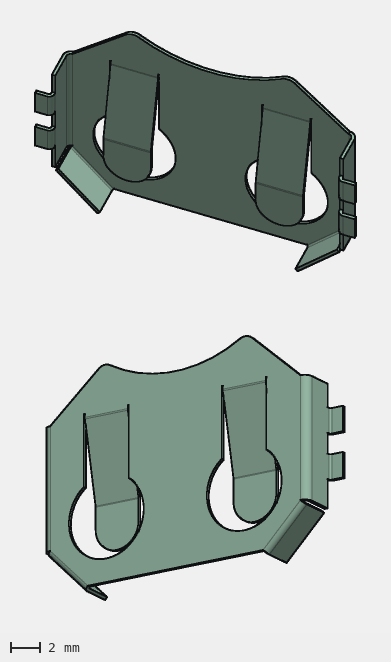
import cadquery as cq
import math

SHEET = 0.25
MIRROR_PLANE = "YZ"

WALL_HALF_SPAN = 10.54
WALL_INNER_RADIUS = 0.3
PLATE_HALF_WIDTH = WALL_HALF_SPAN - SHEET - WALL_INNER_RADIUS
CORNER_CUT = 3.0
WALL_TOP_Z = 11.8
PEAK_X = 5.66
PEAK_Z = 15.55
PEAK_RADIUS = 0.8
NOTCH_BOTTOM_Z = 13.9

FLANGE_DEPTH = 2.55
CORNER_INNER_RADIUS = 0.12

TAB_HALF_SPAN = 11.55
TAB_DEPTH = 3.05
TAB_WIDTH = 1.8
TAB_INNER_RADIUS = 0.15
LOWER_TAB_Z = 5.99
TAB_PITCH = 3.25
TABS_PER_SIDE = 2

TONGUE_X = 5.5
TONGUE_WIDTH = 3.42
TONGUE_TIP_Z = 2.63
TONGUE_DEPTH = 1.57
UPPER_BEND_Z = 11.92
LOWER_BEND_Z = 6.03
TONGUE_INNER_RADIUS = 0.25
SLIT_WIDTH = 0.07
SLIT_TOP_Z = 12.18
WINDOW_RADIUS = 2.98
WINDOW_Z = 4.65


def both_sides(half):
    """Join a shape with its mirror image across X = 0."""
    return half.union(half.mirror(MIRROR_PLANE))


def make_plate():
    """Flat plate with cut bottom corners, sloping shoulders and a concave top edge."""
    plate = (
        cq.Workplane("XZ")
        .moveTo(CORNER_CUT - PLATE_HALF_WIDTH, 0)
        .lineTo(PLATE_HALF_WIDTH - CORNER_CUT, 0)
        .lineTo(PLATE_HALF_WIDTH, CORNER_CUT)
        .lineTo(PLATE_HALF_WIDTH, WALL_TOP_Z)
        .lineTo(PEAK_X, PEAK_Z)
        .threePointArc((0, NOTCH_BOTTOM_Z), (-PEAK_X, PEAK_Z))
        .lineTo(-PLATE_HALF_WIDTH, WALL_TOP_Z)
        .lineTo(-PLATE_HALF_WIDTH, CORNER_CUT)
        .close()
        .extrude(SHEET)
    )
    return plate.edges("|Y").edges(">Z").fillet(PEAK_RADIUS)


def make_window():
    """Keyhole opening: a round hole with a slot rising from it."""
    slot_height = SLIT_TOP_Z - WINDOW_Z
    slot_width = TONGUE_WIDTH + 2 * SLIT_WIDTH
    hole = cq.Workplane("XZ").center(TONGUE_X, WINDOW_Z).circle(WINDOW_RADIUS).extrude(SHEET)
    slot = (
        cq.Workplane("XZ")
        .center(TONGUE_X, WINDOW_Z + slot_height / 2)
        .rect(slot_width, slot_height)
        .extrude(SHEET)
    )
    return hole.union(slot)


def make_flange(inner_radius, length):
    """Right-angle flange along +Z whose bend starts at X = 0 and turns toward -Y."""
    outer_radius = inner_radius + SHEET
    return (
        cq.Workplane("XY")
        .moveTo(0, 0)
        .radiusArc((outer_radius, -outer_radius), outer_radius)
        .lineTo(outer_radius, -FLANGE_DEPTH)
        .lineTo(inner_radius, -FLANGE_DEPTH)
        .lineTo(inner_radius, -outer_radius)
        .radiusArc((0, -SHEET), -inner_radius)
        .close()
        .extrude(length)
    )


def make_side_wall():
    """Flange along the vertical edge of the plate."""
    wall = make_flange(WALL_INNER_RADIUS, WALL_TOP_Z - CORNER_CUT)
    return wall.translate((PLATE_HALF_WIDTH, 0, CORNER_CUT))


def make_corner_flange():
    """Flange along the 45 degree edge, leaning outward and down."""
    flange = make_flange(CORNER_INNER_RADIUS, CORNER_CUT * math.sqrt(2))
    return flange.rotate((0, 0, 0), (0, 1, 0), 45).translate((PLATE_HALF_WIDTH - CORNER_CUT, 0, 0))


def make_tab(middle_z):
    """Tab that drops from the wall edge and bends outward."""
    wall_inner_x = WALL_HALF_SPAN - SHEET
    outer_radius = TAB_INNER_RADIUS + SHEET
    bend_start_y = outer_radius - TAB_DEPTH
    flat_start_x = wall_inner_x + outer_radius
    return (
        cq.Workplane("XY", origin=(0, 0, middle_z - TAB_WIDTH / 2))
        .moveTo(wall_inner_x, -FLANGE_DEPTH)
        .lineTo(wall_inner_x, bend_start_y)
        .radiusArc((flat_start_x, -TAB_DEPTH), -outer_radius)
        .lineTo(TAB_HALF_SPAN, -TAB_DEPTH)
        .lineTo(TAB_HALF_SPAN, SHEET - TAB_DEPTH)
        .lineTo(flat_start_x, SHEET - TAB_DEPTH)
        .radiusArc((WALL_HALF_SPAN, bend_start_y), TAB_INNER_RADIUS)
        .lineTo(WALL_HALF_SPAN, -FLANGE_DEPTH)
        .close()
        .extrude(TAB_WIDTH)
    )


def make_tongue():
    """Spring tongue: slopes forward from the plate, then runs parallel to it to a round tip."""
    slope = math.atan2(TONGUE_DEPTH - SHEET, UPPER_BEND_Z - LOWER_BEND_Z)
    back_drop = SHEET * math.tan(slope / 2)
    tongue_back_y = SHEET - TONGUE_DEPTH
    half_width = TONGUE_WIDTH / 2
    strip = (
        cq.Workplane("YZ", origin=(TONGUE_X - half_width, 0, 0))
        .moveTo(0, SLIT_TOP_Z)
        .lineTo(-SHEET, SLIT_TOP_Z)
        .lineTo(-SHEET, UPPER_BEND_Z)
        .lineTo(-TONGUE_DEPTH, LOWER_BEND_Z)
        .lineTo(-TONGUE_DEPTH, TONGUE_TIP_Z)
        .lineTo(tongue_back_y, TONGUE_TIP_Z)
        .lineTo(tongue_back_y, LOWER_BEND_Z - back_drop)
        .lineTo(0, UPPER_BEND_Z - back_drop)
        .close()
        .extrude(TONGUE_WIDTH)
    )

    def round_bend(body, y, z, radius):
        corner = cq.selectors.NearestToPointSelector((TONGUE_X, y, z))
        return body.edges("|X").edges(corner).fillet(radius)

    outer_radius = TONGUE_INNER_RADIUS + SHEET
    strip = round_bend(strip, -SHEET, UPPER_BEND_Z, TONGUE_INNER_RADIUS)
    strip = round_bend(strip, 0, UPPER_BEND_Z - back_drop, outer_radius)
    strip = round_bend(strip, -TONGUE_DEPTH, LOWER_BEND_Z, outer_radius)
    strip = round_bend(strip, tongue_back_y, LOWER_BEND_Z - back_drop, TONGUE_INNER_RADIUS)

    tip_outline = (
        cq.Workplane("XZ")
        .moveTo(TONGUE_X - half_width, SLIT_TOP_Z)
        .lineTo(TONGUE_X - half_width, TONGUE_TIP_Z + half_width)
        .threePointArc((TONGUE_X, TONGUE_TIP_Z), (TONGUE_X + half_width, TONGUE_TIP_Z + half_width))
        .lineTo(TONGUE_X + half_width, SLIT_TOP_Z)
        .close()
        .extrude(TONGUE_DEPTH)
    )
    return strip.intersect(tip_outline)


result = make_plate().cut(both_sides(make_window()))
result = result.union(both_sides(make_tongue()))
result = result.union(both_sides(make_side_wall()))
result = result.union(both_sides(make_corner_flange()))
for tab_index in range(TABS_PER_SIDE):
    result = result.union(both_sides(make_tab(LOWER_TAB_Z + tab_index * TAB_PITCH)))